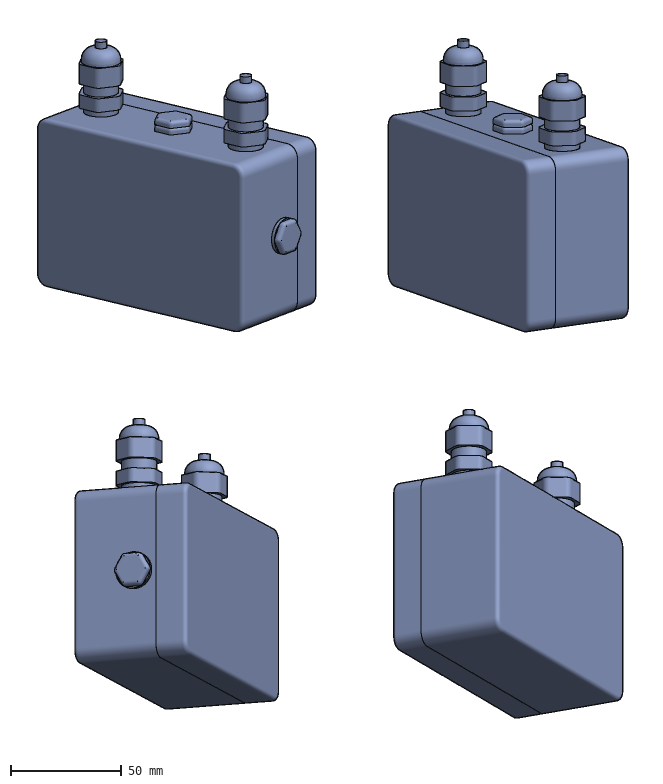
import cadquery as cq
import math

BOX_WIDTH = 120.0
BOX_DEPTH = 55.0
BOX_HEIGHT = 80.1
LID_DEPTH = 15.0
BASE_DEPTH = BOX_DEPTH - LID_DEPTH
CORNER_RADIUS = 5.7
FACE_FILLET = 2.0

TOP_ROW_Y = 25.1
GLAND_SPACING = 84.0

NECK_DIAMETER = 16.1
NUT_FLATS = 19.1
NUT_CORNER_RADIUS = 3.0
FOOT_HEIGHT = 3.0
NUT_HEIGHT = 6.5
NECK_HEIGHT = 5.0
CAP_HEIGHT = 9.5
DOME_DIAMETER = 18.1
DOME_HEIGHT = 6.9
DOME_ROUNDING = 5.7
CABLE_DIAMETER = 5.4
GLAND_HEIGHT = 33.9

TOP_PLUG_COUNT = 2
TOP_PLUG_FLATS = 16.1
TOP_PLUG_HEIGHT = 3.1

SIDE_PLUG_Y = 29.6
SIDE_PLUG_FLATS = 15.2
SIDE_PLUG_HEAD = 3.0
FLANGE_DIAMETER = 16.8
FLANGE_THICKNESS = 1.7

PLUG_CORNER_RADIUS = 1.9
PLUG_TOP_FILLET = 1.7


def slab(front_y, depth):
    """Block with rounded corner edges, running from front_y toward +Y."""
    return (
        cq.Workplane("XZ", origin=(0, front_y, BOX_HEIGHT / 2))
        .rect(BOX_WIDTH, BOX_HEIGHT)
        .extrude(-depth)
        .edges("|Y")
        .fillet(CORNER_RADIUS)
    )


def hexagon(flats, height, corner_radius):
    """Hexagonal prism on Z = 0 with two corners on the X axis and its upright edges rounded."""
    across_corners = flats / math.cos(math.pi / 6)
    return (
        cq.Workplane("XY")
        .polygon(6, across_corners)
        .extrude(height)
        .edges("|Z")
        .fillet(corner_radius)
    )


def cylinder(diameter, height):
    return cq.Workplane("XY").circle(diameter / 2).extrude(height)


def plug_head(flats, height):
    """Hexagonal head with a rounded upper rim."""
    return hexagon(flats, height, PLUG_CORNER_RADIUS).faces(">Z").edges().fillet(PLUG_TOP_FILLET)


def make_base():
    return slab(0, BASE_DEPTH).faces("<Y").edges().fillet(FACE_FILLET)


def make_lid():
    return slab(BASE_DEPTH, LID_DEPTH).faces(">Y").edges().fillet(FACE_FILLET)


def make_gland():
    """Cable gland standing on Z = 0: foot, nut, neck, hexagonal cap, dome and cable stub."""
    nut_bottom = FOOT_HEIGHT
    cap_bottom = nut_bottom + NUT_HEIGHT + NECK_HEIGHT
    dome_bottom = cap_bottom + CAP_HEIGHT
    nut = hexagon(NUT_FLATS, NUT_HEIGHT, NUT_CORNER_RADIUS).translate((0, 0, nut_bottom))
    cap = hexagon(NUT_FLATS, CAP_HEIGHT, NUT_CORNER_RADIUS).translate((0, 0, cap_bottom))
    dome = cylinder(DOME_DIAMETER, DOME_HEIGHT).faces(">Z").edges().fillet(DOME_ROUNDING)
    return (
        cylinder(NECK_DIAMETER, dome_bottom)
        .union(nut)
        .union(cap)
        .union(dome.translate((0, 0, dome_bottom)))
        .union(cylinder(CABLE_DIAMETER, GLAND_HEIGHT))
    )


def make_side_plug():
    """Hexagonal head on a round flange, pointing along +X with two corners on the Y axis."""
    head = plug_head(SIDE_PLUG_FLATS, SIDE_PLUG_HEAD).translate((0, 0, FLANGE_THICKNESS))
    plug = cylinder(FLANGE_DIAMETER, FLANGE_THICKNESS).union(head)
    return (
        plug.rotate((0, 0, 0), (0, 0, 1), 90)
        .rotate((0, 0, 0), (0, 1, 0), 90)
        .translate((BOX_WIDTH / 2, SIDE_PLUG_Y, BOX_HEIGHT / 2))
    )


base = make_base()
lid = make_lid()

glands = []
for side in (-1, 1):
    glands.append(make_gland().translate((side * GLAND_SPACING / 2, TOP_ROW_Y, BOX_HEIGHT)))

top_plugs = []
for level in range(TOP_PLUG_COUNT):
    plug_bottom = BOX_HEIGHT + level * TOP_PLUG_HEIGHT
    top_plugs.append(plug_head(TOP_PLUG_FLATS, TOP_PLUG_HEIGHT).translate((0, TOP_ROW_Y, plug_bottom)))

side_plug = make_side_plug()

result = cq.Compound.makeCompound(
    [
        base.val(),
        lid.val(),
        *[gland.val() for gland in glands],
        *[plug.val() for plug in top_plugs],
        side_plug.val(),
    ]
)